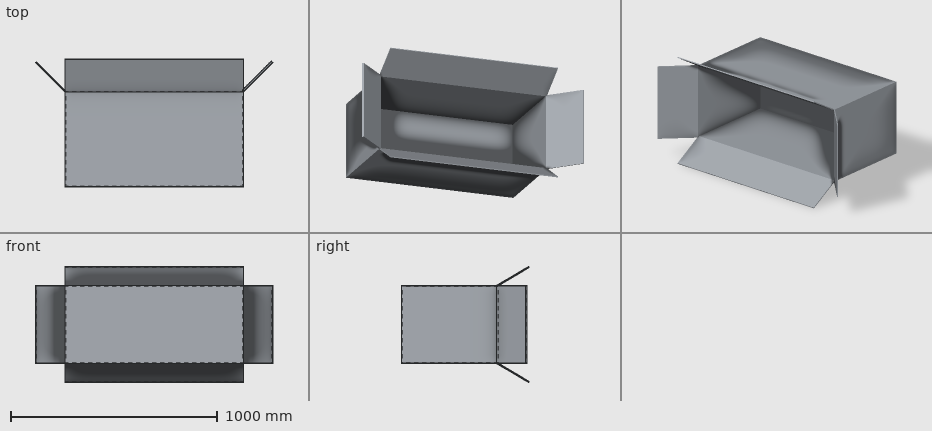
import cadquery as cq
import math

SPAN_X = 1148.0
HEIGHT = 376.0
DEPTH = 460.0
WALL = 5.0

SIDE_FLAP_LENGTH = 200.0
SIDE_FLAP_ANGLE = 45.0
THICK_FLAP = 10.0
LID_FLAP_LENGTH = 181.0
LID_FLAP_ANGLE = 30.6

SIDE_REACH = SIDE_FLAP_LENGTH * math.sin(math.radians(SIDE_FLAP_ANGLE))
WIDTH = SPAN_X - 2 * SIDE_REACH


def flap_profile(hinge, length, thickness, angle):
    """Flap section as (outward, forward) points; its root rests on the wall rim."""
    outward = math.sin(math.radians(angle))
    forward = math.cos(math.radians(angle))
    tip = (hinge + length * outward, length * forward)
    inner_tip = (tip[0] - thickness * forward, tip[1] + thickness * outward)
    root_forward = (thickness - WALL * forward) / outward
    inner_root = (hinge - WALL, max(root_forward, 0.0))
    points = [(hinge, 0.0), tip, inner_tip, inner_root]
    if root_forward > 0:
        points.append((hinge - WALL, 0.0))
    return points


def make_side_flap(side, thickness):
    """Flap on the -X (side = -1) or +X (side = 1) wall, as tall as the carton."""
    profile = flap_profile(WIDTH / 2, SIDE_FLAP_LENGTH, thickness, SIDE_FLAP_ANGLE)
    points = [(side * x, y) for x, y in profile]
    return cq.Workplane("XY").polyline(points).close().extrude(HEIGHT / 2, both=True)


def make_lid_flap(side):
    """Flap on the bottom (side = -1) or top (side = 1) wall, as wide as the carton."""
    profile = flap_profile(HEIGHT / 2, LID_FLAP_LENGTH, WALL, LID_FLAP_ANGLE)
    points = [(y, side * z) for z, y in profile]
    return cq.Workplane("YZ").polyline(points).close().extrude(WIDTH / 2, both=True)


def make_shell():
    """Thin-walled box with its opening at Y = 0."""
    outer = cq.Workplane("XY").box(WIDTH, DEPTH, HEIGHT).translate((0, -DEPTH / 2, 0))
    return outer.faces(">Y").shell(-WALL)


def make_carton():
    """Shell with the -X flap and both lid flaps."""
    carton = make_shell().union(make_side_flap(-1, WALL))
    for side in (-1, 1):
        carton = carton.union(make_lid_flap(side))
    return carton


carton = make_carton()
thick_flap = make_side_flap(1, THICK_FLAP).cut(carton)

result = cq.Compound.makeCompound([carton.solids().val(), thick_flap.solids().val()])